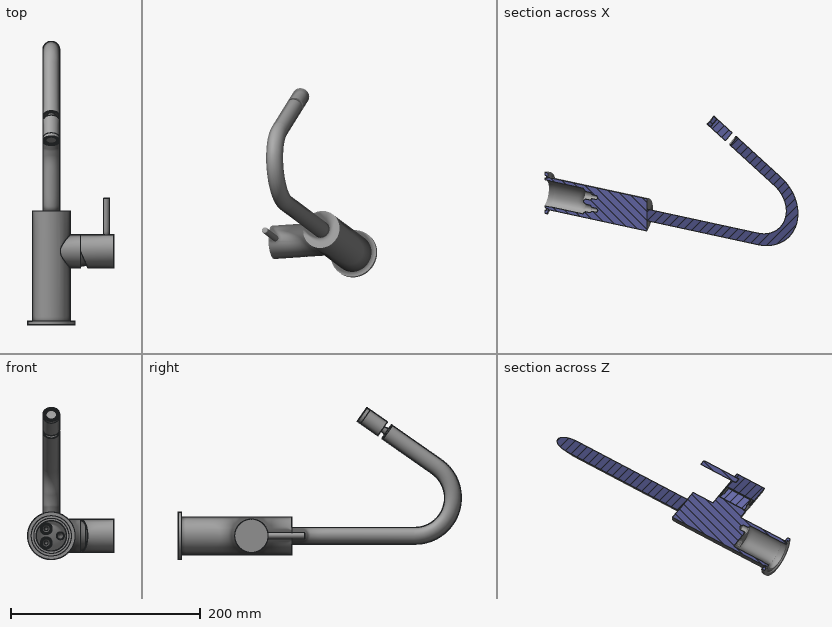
import cadquery as cq
import math

total_length = 298.5

flange_radius = 25.0
flange_thickness = 4.0
flange_recess_radius = 21.2
flange_recess_depth = 1.5

spigot_radius = 18.5
housing_radius = 20.0
housing_end = 120.0
mouth_radius = 16.0
mouth_depth = 6.3
cavity_radius = 15.8
cavity_floor = 44.8
branch_radius = 17.5
branch_y = 77.3
branch_end = 30.8

lip_depth = 1.0
cone_half_angle = 59.0
inlet_x = -5.5
inlet_spacing = 15.0
inlet_radii = (6.3, 5.5, 4.8, 4.2)
inlet_throat_radius = 2.0
outlet_x = 9.5
outlet_radii = (4.2, 3.3)
bore_length = 6.0

tube_radius = 9.0
bend_radius = 40.0
bend_angle = 145.0
arm_length = 64.5
socket_radius = 8.0
socket_depth = 1.5

neck_gap = 5.0
neck_root_radius = 4.2
neck_tip_radius = 3.0
head_length = 26.5
aerator_radius = 8.5
aerator_depth = 4.5
aerator_steps = (7.5, 6.5, 5.7)
aerator_step_depth = 0.3

nose_root_radius = 15.8
nose_tip_radius = 15.0
nose_length = 5.5
nose_stem_radius = 14.3
nose_stem_length = 9.0
handle_end = 66.0
handle_bore_radius = 16.0
handle_bore_depth = 15.0
handle_gap = 7.8
lever_radius = 3.3
lever_x = 58.2
lever_end = 133.8
lever_chamfer = 0.5
lever_socket_depth = 6.0


def cylinder_y(radius, start, end, x=0, z=0):
    """Cylinder along +Y between two Y stations."""
    return cq.Workplane("XZ", origin=(x, start, z)).circle(radius).extrude(start - end)


def cylinder_x(radius, start, end):
    """Cylinder along +X on the branch axis between two X stations."""
    return cq.Workplane("YZ", origin=(start, branch_y, 0)).circle(radius).extrude(end - start)


def make_flange():
    flange = cylinder_y(flange_radius, 0, flange_thickness)
    flange = flange.cut(cylinder_y(flange_recess_radius, 0, flange_recess_depth))
    return flange.cut(cylinder_y(spigot_radius, 0, flange_thickness))


def cone_length(large_radius, small_radius):
    return (large_radius - small_radius) / math.tan(math.radians(cone_half_angle))


def make_port(radii, x, z, throat_radius=None):
    """Stepped hole ending in a drill point; a throat radius adds a narrower hole below a cone."""
    outline = [(0, 0), (radii[0], 0)]
    depth = 0
    for radius, next_radius in zip(radii, radii[1:]):
        depth += lip_depth
        outline += [(radius, depth), (next_radius, depth)]
    tip_radius = radii[-1]
    depth += bore_length
    outline.append((tip_radius, depth))
    if throat_radius is not None:
        depth += cone_length(tip_radius, throat_radius)
        outline.append((throat_radius, depth))
        depth += bore_length
        outline.append((throat_radius, depth))
        tip_radius = throat_radius
    outline.append((0, depth + cone_length(tip_radius, 0)))
    port = cq.Workplane("XY").polyline(outline).close().revolve(360, (0, 0, 0), (0, 1, 0))
    return port.translate((x, cavity_floor, z))


def make_housing():
    housing = cylinder_y(housing_radius, flange_thickness, housing_end)
    housing = housing.union(cylinder_y(spigot_radius, 0, flange_thickness))
    housing = housing.union(cylinder_x(branch_radius, 0, branch_end))
    housing = housing.cut(cylinder_y(mouth_radius, 0, mouth_depth))
    housing = housing.cut(cylinder_y(cavity_radius, 0, cavity_floor))
    for side in (-1, 1):
        inlet_z = side * inlet_spacing / 2
        housing = housing.cut(make_port(inlet_radii, inlet_x, inlet_z, inlet_throat_radius))
    return housing.cut(make_port(outlet_radii, outlet_x, 0))


sweep_angle = math.radians(bend_angle)
bend_start = total_length - tube_radius - bend_radius
arm_direction = cq.Vector(0, math.cos(sweep_angle), math.sin(sweep_angle))


def bend_point(angle):
    """(Y, Z) of the tube's centre line after turning through the angle."""
    return (bend_start + bend_radius * math.sin(angle), bend_radius * (1 - math.cos(angle)))


def arm_plane(distance):
    """Plane across the arm, facing along it, at a distance from the end of the bend."""
    origin = cq.Vector(0, *bend_point(sweep_angle)) + arm_direction * distance
    return cq.Workplane(cq.Plane(origin=origin, xDir=(1, 0, 0), normal=arm_direction))


socket_floor = arm_length - socket_depth
head_start = arm_length + neck_gap
head_end = head_start + head_length


def make_spout():
    path = (
        cq.Workplane("YZ")
        .moveTo(housing_end, 0)
        .lineTo(bend_start, 0)
        .threePointArc(bend_point(sweep_angle / 2), bend_point(sweep_angle))
    )
    tube = cq.Workplane("XZ", origin=(0, housing_end, 0)).circle(tube_radius).sweep(path)
    arm = arm_plane(0).circle(tube_radius).extrude(arm_length)
    socket = arm_plane(socket_floor).circle(socket_radius).extrude(socket_depth)
    return tube.union(arm).cut(socket)


def make_neck():
    return (
        arm_plane(socket_floor)
        .circle(neck_root_radius)
        .workplane(offset=head_start - socket_floor)
        .circle(neck_tip_radius)
        .loft()
    )


def make_spray_head():
    head = arm_plane(head_start).circle(tube_radius).extrude(head_length)
    return head.cut(arm_plane(head_end).circle(aerator_radius).extrude(-aerator_depth))


def make_aerator():
    aerator = arm_plane(head_end).circle(aerator_radius).extrude(-aerator_depth)
    for step, radius in enumerate(aerator_steps, start=1):
        aerator = aerator.cut(arm_plane(head_end).circle(radius).extrude(-aerator_step_depth * step))
    return aerator


def make_cartridge_nose():
    nose_end = branch_end + nose_length
    disc = (
        cq.Workplane("YZ", origin=(branch_end, branch_y, 0))
        .circle(nose_root_radius)
        .workplane(offset=nose_length)
        .circle(nose_tip_radius)
        .loft()
    )
    return disc.union(cylinder_x(nose_stem_radius, nose_end, nose_end + nose_stem_length))


def make_lever():
    lever_start = branch_y + branch_radius - lever_socket_depth
    lever = cylinder_y(lever_radius, lever_start, lever_end, lever_x)
    return lever.faces(">Y").chamfer(lever_chamfer)


def make_handle(lever):
    handle = cylinder_x(branch_radius, branch_end, handle_end)
    wedge = (
        cq.Workplane("XY")
        .moveTo(branch_end, branch_y)
        .lineTo(branch_end + handle_gap, branch_y - branch_radius)
        .lineTo(branch_end, branch_y - branch_radius)
        .close()
        .extrude(branch_radius, both=True)
    )
    bore = cylinder_x(handle_bore_radius, branch_end, branch_end + handle_bore_depth)
    return handle.cut(wedge).cut(bore).cut(lever)


flange = make_flange()
housing = make_housing()
spout = make_spout()
neck = make_neck()
spray_head = make_spray_head()
aerator = make_aerator()
cartridge_nose = make_cartridge_nose()
lever = make_lever()
handle = make_handle(lever)

result = cq.Compound.makeCompound(
    [
        flange.val(),
        housing.val(),
        spout.val(),
        neck.val(),
        spray_head.val(),
        aerator.val(),
        cartridge_nose.val(),
        lever.val(),
        handle.val(),
    ]
)